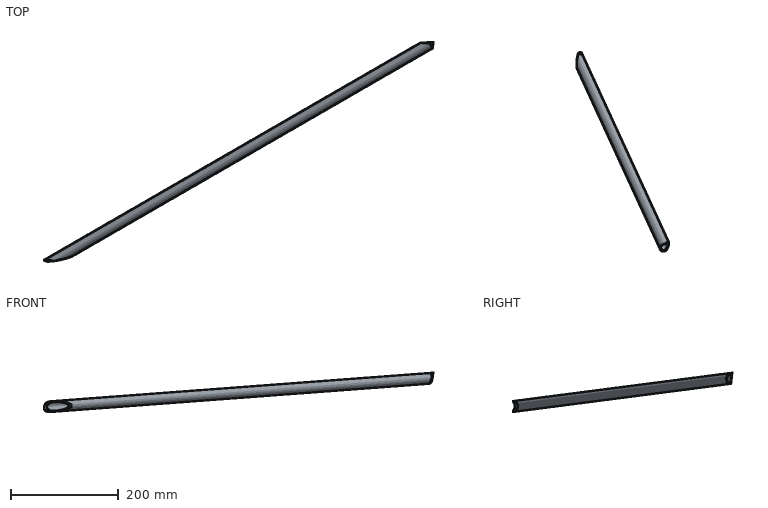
import cadquery as cq
import math

tube_radius = 10.0
wall = 2.0
heading = 30.0
climb = 3.7

start_node = cq.Vector(-363.5, -214.0, -28.0)
node_distance = 845.0

start_cut_radius = 14.0
start_cut_heading = 7.0
end_cut_radius = 13.0
end_cut_heading = -24.0
start_cut_lift = cq.Vector(0, 0, 1.5)
end_cut_lift = cq.Vector(0, 0, -3.0)
cutter_length = 290.0


def direction(heading_angle, climb_angle=0.0):
    """Unit vector for a heading and a climb angle in degrees."""
    turn = math.radians(heading_angle)
    rise = math.radians(climb_angle)
    return cq.Vector(
        math.cos(turn) * math.cos(rise),
        math.sin(turn) * math.cos(rise),
        math.sin(rise),
    )


def joining_tube(node, radius, axis):
    """Solid cylinder centred on a node, used to cut a saddle."""
    base = node - axis * (cutter_length / 2)
    return cq.Workplane(cq.Solid.makeCylinder(radius, cutter_length, base, axis))


tube_axis = direction(heading, climb)
end_node = start_node + tube_axis * node_distance

section = cq.Workplane(cq.Plane(start_node, normal=tube_axis))
tube = section.circle(tube_radius).circle(tube_radius - wall).extrude(node_distance)

tube = tube.cut(joining_tube(start_node + start_cut_lift, start_cut_radius, direction(start_cut_heading)))
tube = tube.cut(joining_tube(end_node + end_cut_lift, end_cut_radius, direction(end_cut_heading)))

result = cq.Workplane(max(tube.solids().vals(), key=lambda piece: piece.Volume()))